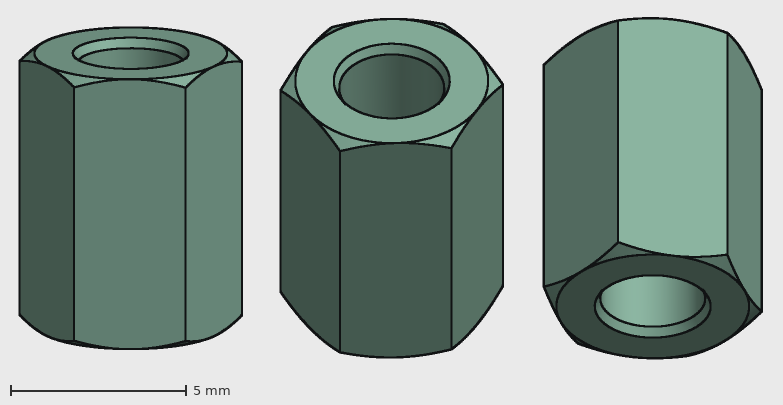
import cadquery as cq
import math

length = 8.0
across_corners = 6.36
bore_diameter = 3.0
countersink_diameter = 3.31
countersink_angle = 30.0
corner_chamfer_angle = 30.0

across_flats = across_corners * math.cos(math.radians(30))
corner_radius = across_corners / 2
face_radius = across_flats / 2
bore_radius = bore_diameter / 2
countersink_radius = countersink_diameter / 2

chamfer_height = (corner_radius - face_radius) * math.tan(math.radians(corner_chamfer_angle))
countersink_depth = (countersink_radius - bore_radius) / math.tan(math.radians(countersink_angle))


def hexagonal_bar():
    return cq.Workplane("XY").polygon(6, across_corners).extrude(length)


def turned_envelope():
    """Bored round blank with coned ends and a countersink at each end of the bore."""
    profile = [
        (bore_radius, countersink_depth),
        (countersink_radius, 0),
        (face_radius, 0),
        (corner_radius, chamfer_height),
        (corner_radius, length - chamfer_height),
        (face_radius, length),
        (countersink_radius, length),
        (bore_radius, length - countersink_depth),
    ]
    return cq.Workplane("XZ").polyline(profile).close().revolve(360, (0, 0), (0, 1))


result = hexagonal_bar().intersect(turned_envelope())